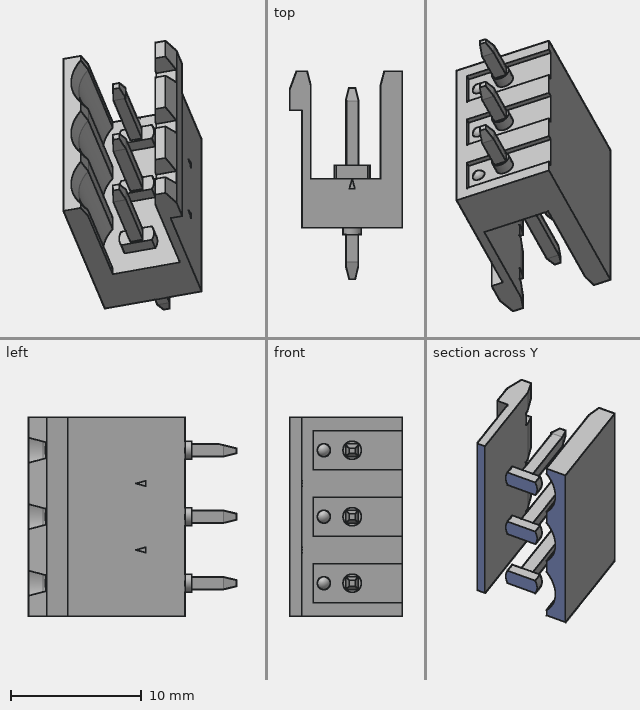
import cadquery as cq
import math


pole_count = 3
pitch = 5.077
pole_heights = [pitch * (i - (pole_count - 1) / 2) for i in range(pole_count)]
top_pole_z = pole_heights[-1]

total_width = 8.6
total_length = 15.9
housing_height = pole_count * pitch
latch_wall_outer_x = 0.92
latch_wall_inner_x = 1.62
back_wall_inner_x = 6.93
base_y = 3.93
floor_y = 7.7
latch_bottom_y = 12.91
latch_slope_y = 14.52
latch_tip_outer_x = 0.51
latch_tip_inner_x = 1.34
mouth_chamfer_length = 1.08
mouth_chamfer_depth = 0.29

notch_mouth_width = 1.92
notch_root_width = 1.22
notch_depth = 1.34

pin_x = 4.77
blade_side = 1.0
blade_tip_side = 0.51
blade_tip_y = 14.63
blade_shoulder_y = 13.63
top_blade_relief = 0.1
tail_side = 0.97
tail_tip_side = 0.48
tail_shoulder_y = 1.0
top_tail_shoulder_y = 1.35
tail_collar_radius = 0.7
tail_collar_y = 3.42
blade_collar_radius = 1.38
blade_collar_flat = 2.42
blade_collar_y = 8.71

socket_radius = 2.93

pocket_start_x = 1.78
pocket_height = 2.97
pocket_depth = 0.37
dome_x = 2.6
dome_radius = 0.5
dome_height = 0.35

mark_length = 0.76
mark_width = 0.41
mark_depth = 0.1


def box(x_range, y_range, z_range):
    """Axis-aligned box between the given limits."""
    size = [high - low for low, high in (x_range, y_range, z_range)]
    return cq.Workplane().box(*size, centered=False).translate((x_range[0], y_range[0], z_range[0]))


def pin_section(y, z):
    """Sketch plane across a pin, facing +Y."""
    return cq.Workplane(cq.Plane((pin_x, y, z), xDir=(1, 0, 0), normal=(0, 1, 0)))


def square_bar(y_start, y_end, z, side):
    return pin_section(y_start, z).rect(side, side).extrude(y_end - y_start)


def frustum(y_start, y_end, z, start_side, end_side):
    section = pin_section(y_start, z).rect(start_side, start_side)
    return section.workplane(offset=y_end - y_start).rect(end_side, end_side).loft(ruled=True)


def disc(y_start, y_end, z, radius):
    return pin_section(y_start, z).circle(radius).extrude(y_end - y_start)


def housing():
    """U-shaped channel with an outward latch nose along the -X wall."""
    chamfer_y = total_length - mouth_chamfer_length
    outline = [
        (latch_wall_outer_x, base_y),
        (total_width, base_y),
        (total_width, total_length),
        (back_wall_inner_x + mouth_chamfer_depth, total_length),
        (back_wall_inner_x, chamfer_y),
        (back_wall_inner_x, floor_y),
        (latch_wall_inner_x, floor_y),
        (latch_wall_inner_x, chamfer_y),
        (latch_tip_inner_x, total_length),
        (latch_tip_outer_x, total_length),
        (0, latch_slope_y),
        (0, latch_bottom_y),
        (latch_wall_outer_x, latch_bottom_y),
    ]
    return cq.Workplane().polyline(outline).close().extrude(housing_height / 2, both=True)


def socket(z):
    """Cylinder around the pin that flares into a cone at the mouth."""
    chamfer_y = total_length - mouth_chamfer_length
    bore = disc(floor_y, chamfer_y, z, socket_radius)
    cone = (
        pin_section(chamfer_y, z)
        .circle(socket_radius)
        .workplane(offset=mouth_chamfer_length)
        .circle(socket_radius + mouth_chamfer_depth)
        .loft(ruled=True)
    )
    return bore.union(cone)


def latch_notch(z):
    """Trapezoidal notch through the latch wall, widening toward the mouth."""
    root_y = total_length - notch_depth
    outline = [
        (root_y, z - notch_root_width / 2),
        (total_length, z - notch_mouth_width / 2),
        (total_length, z + notch_mouth_width / 2),
        (root_y, z + notch_root_width / 2),
    ]
    return cq.Workplane("YZ").polyline(outline).close().extrude(latch_wall_inner_x)


def pocket(z):
    """Shallow recess in the solder side, open toward +X."""
    return box(
        (pocket_start_x, total_width),
        (base_y, base_y + pocket_depth),
        (z - pocket_height / 2, z + pocket_height / 2),
    )


def dome(z):
    """Spherical cap standing on the pocket floor."""
    pocket_floor_y = base_y + pocket_depth
    sphere_radius = (dome_radius**2 + dome_height**2) / (2 * dome_height)
    centre_y = pocket_floor_y - dome_height + sphere_radius
    return cq.Workplane().sphere(sphere_radius).translate((dome_x, centre_y, z))


def pin(z):
    """Mating blade and solder tail on their collars."""
    blade = square_bar(floor_y, blade_shoulder_y, z, blade_side)
    blade_tip = frustum(blade_shoulder_y, blade_tip_y, z, blade_side, blade_tip_side)
    flat_z = math.sqrt(blade_collar_radius**2 - (blade_collar_flat / 2) ** 2)
    blade_collar = disc(floor_y, blade_collar_y, z, blade_collar_radius).intersect(
        box((0, total_width), (floor_y, blade_collar_y), (z - flat_z, z + flat_z))
    )
    tail_collar = disc(tail_collar_y, floor_y, z, tail_collar_radius)
    tail = square_bar(tail_shoulder_y, floor_y, z, tail_side)
    tail_tip = frustum(tail_shoulder_y, 0, z, tail_side, tail_tip_side)
    body = blade.union(blade_tip).union(tail).union(tail_tip)
    return body.union(blade_collar).union(tail_collar)


def top_pin_relief():
    """Material missing from the top pin: a strip of its blade and the upper side of its tail tip."""
    blade_edge_x = pin_x - blade_side / 2
    strip = box(
        (blade_edge_x, blade_edge_x + top_blade_relief),
        (blade_collar_y, blade_shoulder_y),
        (top_pole_z - blade_side / 2, top_pole_z + blade_side / 2),
    )
    tail_top_z = top_pole_z + tail_side / 2
    taper_slope = (tail_side - tail_tip_side) / 2 / tail_shoulder_y
    wedge = (
        cq.Workplane("YZ", origin=(pin_x, 0, 0))
        .polyline([
            (0, tail_top_z),
            (top_tail_shoulder_y, tail_top_z),
            (0, tail_top_z - taper_slope * top_tail_shoulder_y),
        ])
        .close()
        .extrude(tail_side / 2, both=True)
    )
    return strip.union(wedge)


def mark(plane):
    """Engraved triangle with its apex at the plane origin, pointing along the plane's local Y."""
    outline = [(0, 0), (-mark_width / 2, -mark_length), (mark_width / 2, -mark_length)]
    return cq.Workplane(plane).polyline(outline).close().extrude(-mark_depth)


top_mark_plane = cq.Plane((pin_x, floor_y, housing_height / 2), xDir=(1, 0, 0), normal=(0, 0, 1))
side_mark_planes = [
    cq.Plane((latch_wall_outer_x, floor_y, z + pitch / 2), xDir=(0, 0, 1), normal=(-1, 0, 0))
    for z in pole_heights[:-1]
]

result = housing()

for pole_z in pole_heights:
    result = result.cut(socket(pole_z)).cut(latch_notch(pole_z)).cut(pocket(pole_z))

for mark_plane in [top_mark_plane] + side_mark_planes:
    result = result.cut(mark(mark_plane))

for pole_z in pole_heights:
    result = result.union(dome(pole_z)).union(pin(pole_z))

result = result.cut(top_pin_relief())